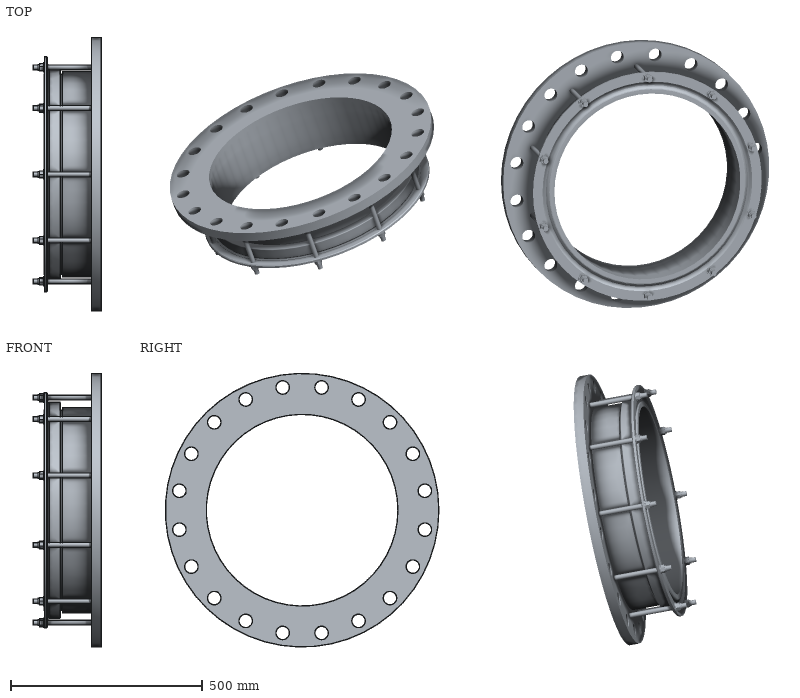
import cadquery as cq
import math

overall_length = 178.0
flange_radius = 357.5
flange_thickness = 26.0
flange_front = overall_length - flange_thickness
bore_radius = 500.0 / 2

bolt_hole_count = 20
bolt_hole_diameter = 34.0
bolt_circle_radius = 324.5

sleeve_radius = 538.0 / 2
sleeve_front = 77.0
neck_radius = 262.0
socket_radius = 282.5
socket_back = 71.0
socket_corner_radius = 2.0
gap_radius = 280.0
gap_front = 39.0
gap_back = 43.0

ring_radius = 615 / 2
ring_front = 29.0
ring_back = 37.0
ring_bevel = 2.0
collar_radius = 287.0
collar_back = 38.5

groove_outer_radius = 282.0
groove_step_radius = 277.5
groove_step_x = 33.5
groove_bottom_radius = 271.0
groove_bottom_x = 36.0
lip_radius = neck_radius
lip_front = 28.5
lip_edge_radius = 264.0
lip_edge_x = 29.0

stud_count = 10
stud_circle_radius = 294.0
stud_diameter = 13.0
nut_collar_start = 13.0
nut_collar_diameter = 16.0
nut_start = 17.0
nut_corner_diameter = 21.5
washer_diameter = 24.0
washer_thickness = 2.0
washer_start = ring_front - washer_thickness


def make_body():
    """Revolve the flange, sleeve, socket and clamping ring about the X axis."""
    corner_offset = socket_corner_radius * math.sqrt(0.5)
    corner_middle = (
        socket_back - socket_corner_radius + corner_offset,
        socket_radius - socket_corner_radius + corner_offset,
    )
    profile = (
        cq.Workplane("XY")
        .moveTo(lip_front, bore_radius)
        .lineTo(overall_length, bore_radius)
        .lineTo(overall_length, flange_radius)
        .lineTo(flange_front, flange_radius)
        .lineTo(flange_front, sleeve_radius)
        .lineTo(sleeve_front, sleeve_radius)
        .lineTo(sleeve_front, neck_radius)
        .lineTo(socket_back, neck_radius)
        .lineTo(socket_back, socket_radius - socket_corner_radius)
        .threePointArc(corner_middle, (socket_back - socket_corner_radius, socket_radius))
        .lineTo(gap_back, socket_radius)
        .lineTo(gap_front, gap_radius)
        .lineTo(collar_back, collar_radius)
        .lineTo(ring_back, collar_radius)
        .lineTo(ring_back, ring_radius - ring_bevel)
        .lineTo(ring_back - ring_bevel, ring_radius)
        .lineTo(ring_front, ring_radius)
        .lineTo(ring_front, groove_outer_radius)
        .lineTo(groove_step_x, groove_step_radius)
        .tangentArcPoint((groove_bottom_x, groove_bottom_radius), relative=False)
        .lineTo(lip_edge_x, lip_edge_radius)
        .lineTo(lip_front, lip_radius)
        .close()
    )
    return profile.revolve(360, (0, 0), (1, 0))


def cylinder(diameter, start, end):
    """Cylinder along X at the top stud position."""
    plane = cq.Workplane("YZ", origin=(start, 0, stud_circle_radius))
    return plane.circle(diameter / 2).extrude(end - start)


def make_stud():
    """Topmost stud with its nut and washer; one nut corner points outward."""
    nut = (
        cq.Workplane("YZ", origin=(nut_start, 0, stud_circle_radius))
        .transformed(rotate=(0, 0, 90))
        .polygon(6, nut_corner_diameter)
        .extrude(washer_start - nut_start)
    )
    return (
        cylinder(stud_diameter, 0, flange_front)
        .union(cylinder(nut_collar_diameter, nut_collar_start, nut_start))
        .union(nut)
        .union(cylinder(washer_diameter, washer_start, ring_front))
    )


def make_bolt_holes():
    """Flange bolt holes, with the first half a pitch away from the top."""
    first_angle = 90 + 180 / bolt_hole_count
    return (
        cq.Workplane("YZ", origin=(flange_front, 0, 0))
        .polarArray(bolt_circle_radius, first_angle, 360, bolt_hole_count)
        .circle(bolt_hole_diameter / 2)
        .extrude(flange_thickness)
    )


result = make_body().cut(make_bolt_holes())
stud = make_stud()
for index in range(stud_count):
    angle = index * 360 / stud_count
    result = result.union(stud.rotate((0, 0, 0), (1, 0, 0), angle))